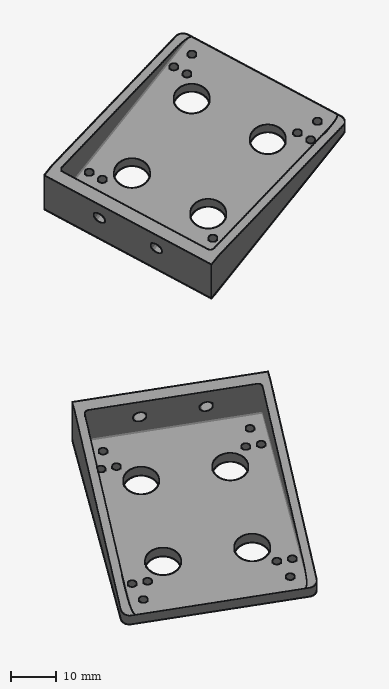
import cadquery as cq

width = 44.0
length = 55.0
height = 13.0

side_wall = 2.05
end_wall = 3.0
floor = 3.0
low_end_height = floor
pocket_radius = 1.0
corner_radius = 2.0

hole_center_y = 29.0
large_diameter = 8.0
large_hole = (10.0, 12.0)
small_diameter = 2.0
small_holes = [(16.5, 22.0), (18.0, 17.0), (14.5, 17.0)]

end_hole_diameter = 3.0
end_hole_x = 7.5
end_hole_z = 8.0


def wedge_body():
    """Solid block whose top slopes down from the end wall to the low end."""
    profile = [
        (0, 0),
        (length, 0),
        (length, low_end_height),
        (end_wall, height),
        (0, height),
    ]
    body = cq.Workplane("YZ").polyline(profile).close().extrude(width / 2, both=True)
    return body.edges("|Z and >Y").fillet(corner_radius)


def pocket():
    """Rounded cavity that runs out through the low end and the sloping top."""
    cavity = cq.Workplane("XY").box(
        width - 2 * side_wall, length, height, centered=(True, False, False)
    )
    cavity = cavity.edges("<Z or (|Z and <Y)").edges("not(>Y)").fillet(pocket_radius)
    return cavity.translate((0, end_wall, floor))


def floor_holes(diameter, offset_x, offset_y):
    """Four vertical through holes in a mirrored pattern."""
    return (
        cq.Workplane("XY")
        .center(0, hole_center_y)
        .rect(2 * offset_x, 2 * offset_y, forConstruction=True)
        .vertices()
        .circle(diameter / 2)
        .extrude(height)
    )


def end_wall_holes():
    """Two horizontal holes through the end wall."""
    return (
        cq.Workplane("XZ")
        .pushPoints([(-end_hole_x, end_hole_z), (end_hole_x, end_hole_z)])
        .circle(end_hole_diameter / 2)
        .extrude(-end_wall)
    )


result = wedge_body().cut(pocket())
result = result.cut(floor_holes(large_diameter, *large_hole))
for small_hole in small_holes:
    result = result.cut(floor_holes(small_diameter, *small_hole))
result = result.cut(end_wall_holes())